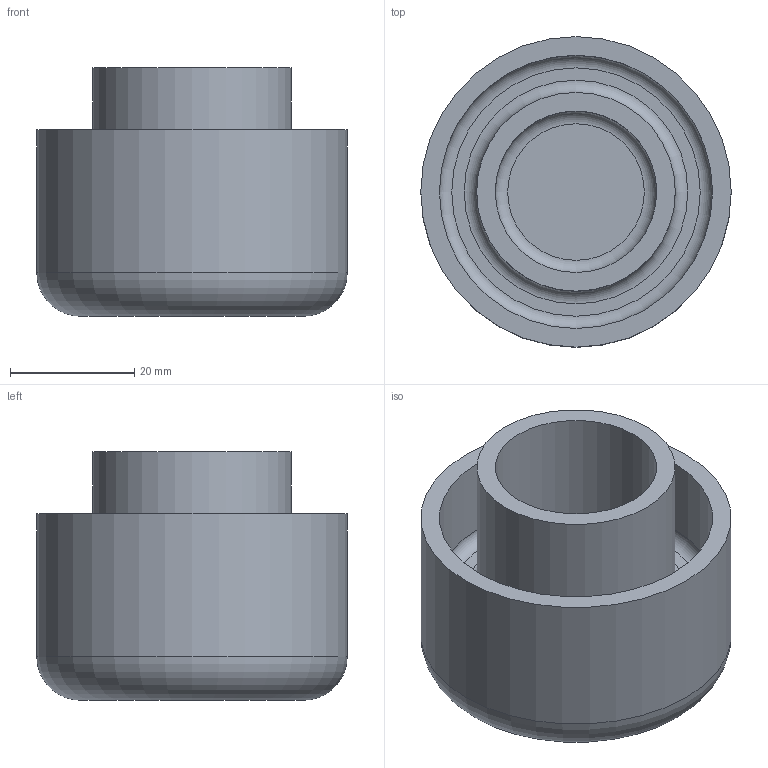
import cadquery as cq

cup_diameter = 50.0
cup_height = 30.0
tube_diameter = 32.0
total_height = 40.0
wall = 3.0
base_thickness = 15.0
base_fillet = 7.0
floor_fillet = 2.0

cup_outer_radius = cup_diameter / 2
cup_inner_radius = cup_outer_radius - wall
tube_outer_radius = tube_diameter / 2
tube_bore_radius = tube_outer_radius - wall


def make_cup_body():
    """Solid outer cup with its rounded bottom edge."""
    body = cq.Workplane("XY").circle(cup_outer_radius).extrude(cup_height)
    return body.faces("<Z").edges().fillet(base_fillet)


def make_ring_channel():
    """Annular space between cup wall and tube, rounded where it meets the floor."""
    channel = (
        cq.Workplane("XY", origin=(0, 0, base_thickness))
        .circle(cup_inner_radius)
        .circle(tube_outer_radius)
        .extrude(cup_height - base_thickness)
    )
    return channel.faces("<Z").edges().fillet(floor_fillet)


def make_tube_extension():
    """Part of the central tube that rises above the cup rim."""
    return (
        cq.Workplane("XY", origin=(0, 0, cup_height))
        .circle(tube_outer_radius)
        .extrude(total_height - cup_height)
    )


def make_tube_bore():
    """Blind bore of the tube, rounded at its floor."""
    bore = (
        cq.Workplane("XY", origin=(0, 0, base_thickness))
        .circle(tube_bore_radius)
        .extrude(total_height - base_thickness)
    )
    return bore.faces("<Z").edges().fillet(floor_fillet)


result = (
    make_cup_body()
    .cut(make_ring_channel())
    .union(make_tube_extension())
    .cut(make_tube_bore())
    .clean()
)